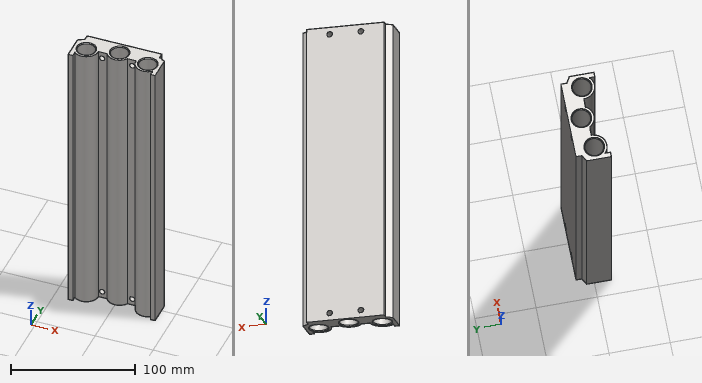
import cadquery as cq

length = 250.0
width = 75.0
depth = 28.0

back_width = 64.5
back_step = 4.8
slope_end = 7.8
web_depth = 15.8
leg_thickness = 4.0

tube_radius = 10.2
bore_radius = 7.5
side_tube_x = 26.5
side_tube_depth = 16.0
middle_tube_depth = 10.5
mouth_chamfer = 0.8

hole_diameter = 4.5
hole_x = 13.0
hole_end_distance = 6.0

half_length = length / 2
half_width = width / 2
half_back = back_width / 2
back_y = depth / 2
front_y = -depth / 2
side_tube_y = back_y - side_tube_depth
middle_tube_y = back_y - middle_tube_depth
tube_centers = [(-side_tube_x, side_tube_y), (0, middle_tube_y), (side_tube_x, side_tube_y)]


def bar_block(x_min, x_max, y_min, y_max):
    """Full-length rectangular bar between the given X and Y limits."""
    return (
        cq.Workplane("XY")
        .box(x_max - x_min, y_max - y_min, length, centered=False)
        .translate((x_min, y_min, -half_length))
    )


def web():
    """Plate with stepped and sloped back corners that joins the tubes."""
    web_y = back_y - web_depth
    outline = [
        (-half_width, web_y),
        (half_width, web_y),
        (half_width, back_y - slope_end),
        (half_back, back_y - back_step),
        (half_back, back_y),
        (-half_back, back_y),
        (-half_back, back_y - back_step),
        (-half_width, back_y - slope_end),
    ]
    return cq.Workplane("XY", origin=(0, 0, -half_length)).polyline(outline).close().extrude(length)


def legs():
    """Thin walls along both sides, reaching to the front."""
    leg_top = back_y - slope_end
    left = bar_block(-half_width, -half_width + leg_thickness, front_y, leg_top)
    return left.union(left.mirror("YZ"))


def tubes():
    """Solid round bars that carry the bores."""
    base = cq.Workplane("XY", origin=(0, 0, -half_length))
    return base.pushPoints(tube_centers).circle(tube_radius).extrude(length)


def bore(center):
    """Cutter for one through bore with a chamfer at each mouth."""
    x, y = center
    mouth_radius = bore_radius + mouth_chamfer
    profile = [
        (0, -half_length),
        (mouth_radius, -half_length),
        (bore_radius, -half_length + mouth_chamfer),
        (bore_radius, half_length - mouth_chamfer),
        (mouth_radius, half_length),
        (0, half_length),
    ]
    cutter = cq.Workplane("XZ").polyline(profile).close().revolve(360, (0, 0), (0, 1))
    return cutter.translate((x, y, 0))


def cross_holes():
    """Four holes through the web, two near each end."""
    hole_z = half_length - hole_end_distance
    return (
        cq.Workplane("XZ")
        .rect(2 * hole_x, 2 * hole_z, forConstruction=True)
        .vertices()
        .circle(hole_diameter / 2)
        .extrude(depth, both=True)
    )


result = web().union(legs()).union(tubes())
for tube_center in tube_centers:
    result = result.cut(bore(tube_center))
result = result.cut(cross_holes())